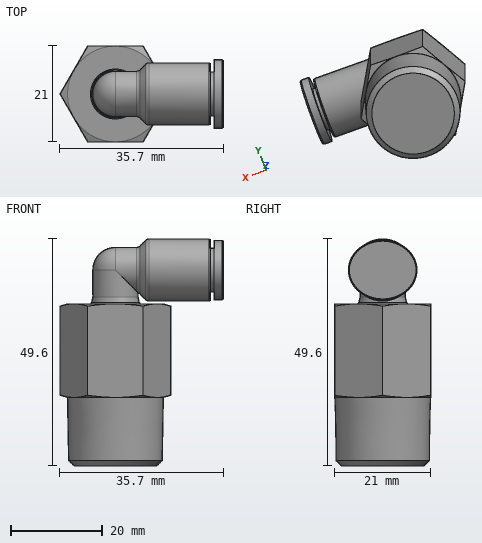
import cadquery as cq
import math

THREAD_TOP = 15.0
HEX_TOP = 35.4
OVERALL_HEIGHT = 49.6

HEX_ACROSS_FLATS = 21.0
HEX_CORNER_RADIUS = HEX_ACROSS_FLATS / 2 / math.cos(math.radians(30))
HEX_FACE_RADIUS = 10.45
HEX_CORNER_DROP = 0.5

THREAD_TAPER = 0.25
THREAD_TOP_RADIUS = HEX_ACROSS_FLATS / 2
THREAD_END_RADIUS = THREAD_TOP_RADIUS - THREAD_TAPER
THREAD_CHAMFER = 1.25

TUBE_RADIUS = 4.95
FOOT_RADIUS = 5.2
FOOT_HEIGHT = 1.55
FOOT_CHAMFER_RADIUS = 5.45
FOOT_CHAMFER_HEIGHT = 0.35

SOCKET_RADIUS = 6.8
SHOULDER_START = 5.05
SHOULDER_END = SHOULDER_START + SOCKET_RADIUS - TUBE_RADIUS
SHOULDER_BLEND = 1.0
SOCKET_END = 20.75
SOCKET_EDGE_LENGTH = 0.35
SOCKET_EDGE_DEPTH = 0.15
NECK_RADIUS = 4.8
ELBOW_HEIGHT = OVERALL_HEIGHT - SOCKET_RADIUS

OVERALL_LENGTH = 35.7
RING_END = OVERALL_LENGTH - HEX_CORNER_RADIUS
RING_THICKNESS = 2.05
RING_START = RING_END - RING_THICKNESS
RING_HALF_WIDTH = 7.5
RING_HALF_HEIGHT = 6.5
RING_CHAMFER_LENGTH = 0.35
RING_CHAMFER_DEPTH = 0.2


def revolve_about_z(points):
    """Solid of revolution from (radius, height) points."""
    return cq.Workplane("XZ").polyline(points).close().revolve(360, (0, 0), (0, 1))


def make_thread():
    return revolve_about_z([
        (0, 0),
        (THREAD_END_RADIUS - THREAD_CHAMFER, 0),
        (THREAD_END_RADIUS, THREAD_CHAMFER),
        (THREAD_TOP_RADIUS, THREAD_TOP),
        (0, THREAD_TOP),
    ])


def make_hexagon():
    """Hexagonal prism with both ends of its corners turned off conically."""
    prism = (
        cq.Workplane("XY", origin=(0, 0, THREAD_TOP))
        .polygon(6, 2 * HEX_CORNER_RADIUS)
        .extrude(HEX_TOP - THREAD_TOP)
    )
    envelope = revolve_about_z([
        (0, THREAD_TOP),
        (HEX_FACE_RADIUS, THREAD_TOP),
        (HEX_CORNER_RADIUS, THREAD_TOP + HEX_CORNER_DROP),
        (HEX_CORNER_RADIUS, HEX_TOP - HEX_CORNER_DROP),
        (HEX_FACE_RADIUS, HEX_TOP),
        (0, HEX_TOP),
    ])
    return prism.intersect(envelope)


def make_stem():
    """Vertical tube rising from its foot and closed by a ball at the elbow."""
    stem = revolve_about_z([
        (0, HEX_TOP),
        (FOOT_CHAMFER_RADIUS, HEX_TOP),
        (FOOT_RADIUS, HEX_TOP + FOOT_CHAMFER_HEIGHT),
        (TUBE_RADIUS, HEX_TOP + FOOT_HEIGHT),
        (TUBE_RADIUS, ELBOW_HEIGHT),
        (0, ELBOW_HEIGHT),
    ])
    ball = cq.Workplane("XY").sphere(TUBE_RADIUS).translate((0, 0, ELBOW_HEIGHT))
    return stem.union(ball)


def make_socket():
    """Horizontal tube widening through a 45 degree shoulder into the socket, then the ring's neck."""
    bend = math.radians(45)
    tangent = SHOULDER_BLEND * math.tan(bend / 2)
    slope = tangent * math.cos(bend)
    rise = SHOULDER_BLEND * (1 - math.cos(bend / 2))
    mid = SHOULDER_BLEND * math.sin(bend / 2)
    blend_start = SHOULDER_START - tangent
    blend_end = SHOULDER_END + tangent
    profile = (
        cq.Workplane("XZ", origin=(0, 0, ELBOW_HEIGHT))
        .moveTo(0, 0)
        .lineTo(0, TUBE_RADIUS)
        .lineTo(blend_start, TUBE_RADIUS)
        .threePointArc(
            (blend_start + mid, TUBE_RADIUS + rise),
            (SHOULDER_START + slope, TUBE_RADIUS + slope),
        )
        .lineTo(SHOULDER_END - slope, SOCKET_RADIUS - slope)
        .threePointArc(
            (blend_end - mid, SOCKET_RADIUS - rise),
            (blend_end, SOCKET_RADIUS),
        )
        .lineTo(SOCKET_END - SOCKET_EDGE_LENGTH, SOCKET_RADIUS)
        .lineTo(SOCKET_END, SOCKET_RADIUS - SOCKET_EDGE_DEPTH)
        .lineTo(SOCKET_END, NECK_RADIUS)
        .lineTo(RING_START, NECK_RADIUS)
        .lineTo(RING_START, 0)
        .close()
    )
    return profile.revolve(360, (0, 0), (1, 0))


def make_ring():
    ring = (
        cq.Workplane("YZ", origin=(RING_START, 0, ELBOW_HEIGHT))
        .ellipse(RING_HALF_WIDTH, RING_HALF_HEIGHT)
        .extrude(RING_THICKNESS)
    )
    return ring.faces(">X").chamfer(RING_CHAMFER_LENGTH, RING_CHAMFER_DEPTH)


result = (
    make_thread()
    .union(make_hexagon())
    .union(make_stem())
    .union(make_socket())
    .union(make_ring())
)